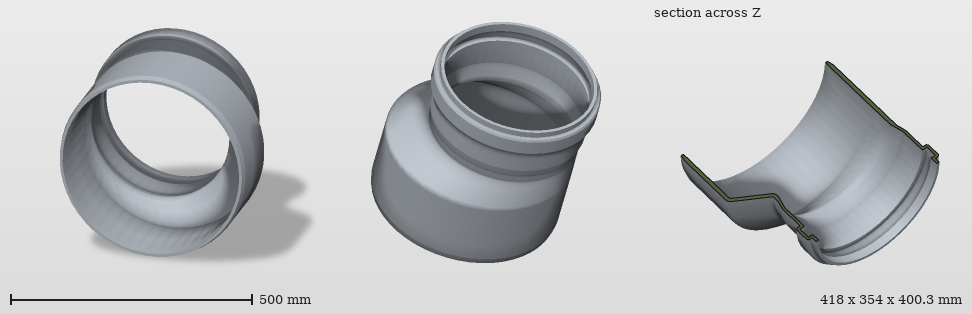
import cadquery as cq
import math


spigot_diameter = 400.3
neck_diameter = 319.0
socket_diameter = 330.3
lip_diameter = 331.2
collar_diameter = 354.3

pipe_wall = 9.8
socket_wall = 6.9

spigot_chamfer_length = 15.0
taper_start = 157.0
taper_end = 206.0
neck_bore_end = 212.5
neck_end = 222.0
socket_start = 244.0
collar_start = 300.0
collar_end = 341.0
total_length = 354.0

spigot_chamfer_depth = 3.5
collar_chamfer_length = 4.5
collar_chamfer_depth = 3.0
shoulder_radius = 11.0
neck_round_outside = 2.0
neck_round_inside = neck_round_outside + pipe_wall
neck_round_steps = 4

spigot_radius = spigot_diameter / 2
spigot_bore_radius = spigot_radius - pipe_wall
neck_radius = neck_diameter / 2
neck_bore_radius = neck_radius - pipe_wall
spigot_offset = spigot_radius - neck_radius

taper_angle = math.atan2(spigot_diameter - neck_diameter, taper_end - taper_start)
bore_taper_shift = pipe_wall * math.tan(taper_angle / 2)


def circle_at(y, radius, axis_x):
    """Circular wire facing +Y, centred on (axis_x, y, 0)."""
    return cq.Wire.makeCircle(radius, cq.Vector(axis_x, y, 0), cq.Vector(0, 1, 0))


def loft_sections(wires, straight=True):
    """Solid lofted through the given circles, with straight or smoothly curved sides."""
    return cq.Workplane(cq.Solid.makeLoft(wires, straight))


def stack_sections(wires):
    """Union of straight-sided lofts between each circle and the next."""
    solid = loft_sections(wires[:2])
    for front, back in zip(wires[1:], wires[2:]):
        solid = solid.union(loft_sections([front, back]))
    return solid


def neck_round_wires(small_radius, corner_y, round_radius):
    """Circles that round the corner between taper and neck.

    Every circle touches the straight -X wall, while its +X side follows an arc
    tangent to the taper and to the neck.
    """
    tangent_y = corner_y + round_radius * math.tan(taper_angle / 2)
    wires = []
    for step in range(neck_round_steps + 1):
        angle = taper_angle * (1 - step / neck_round_steps)
        rise = round_radius * (1 - math.cos(angle))
        y = tangent_y - round_radius * math.sin(angle)
        wires.append(circle_at(y, small_radius + rise / 2, rise / 2))
    return wires


def revolve_profile(points):
    """Solid of revolution about the Y axis from (radius, y) points."""
    return cq.Workplane("XY").polyline(points).close().revolve(360, (0, 0, 0), (0, 1, 0))


def round_shoulder(body):
    """Round the seam between spigot and taper; the round fades out on the -X side."""
    reach = spigot_diameter
    seam = cq.selectors.BoxSelector(
        (-reach, taper_start - 1, -reach),
        (reach, taper_start + 1, reach),
    )
    return body.edges(seam).fillet(shoulder_radius)


def make_spigot_outside():
    """Chamfered spigot, eccentric taper and the round into the neck."""
    round_wires = neck_round_wires(neck_radius, taper_end, neck_round_outside)
    body = stack_sections([
        circle_at(0, spigot_radius - spigot_chamfer_depth, spigot_offset),
        circle_at(spigot_chamfer_length, spigot_radius, spigot_offset),
        circle_at(taper_start, spigot_radius, spigot_offset),
        round_wires[0],
    ])
    body = round_shoulder(body)
    body = body.union(loft_sections(round_wires, straight=False))
    return body.union(loft_sections([round_wires[-1], circle_at(neck_end, neck_radius, 0)]))


def make_spigot_bore():
    """Plain spigot bore, eccentric taper and the round into the neck bore."""
    corner_y = taper_end - bore_taper_shift
    round_wires = neck_round_wires(neck_bore_radius, corner_y, neck_round_inside)
    body = stack_sections([
        circle_at(0, spigot_bore_radius, spigot_offset),
        circle_at(taper_start - bore_taper_shift, spigot_bore_radius, spigot_offset),
        round_wires[0],
    ])
    body = body.union(loft_sections(round_wires, straight=False))
    return body.union(loft_sections([round_wires[-1], circle_at(neck_bore_end, neck_bore_radius, 0)]))


def make_socket_outside():
    """Flare, socket barrel, chamfered collar and end lip."""
    socket_radius = socket_diameter / 2
    lip_radius = lip_diameter / 2
    collar_radius = collar_diameter / 2
    collar_edge_radius = collar_radius - collar_chamfer_depth
    return revolve_profile([
        (0, neck_end),
        (neck_radius, neck_end),
        (socket_radius, socket_start),
        (socket_radius, collar_start),
        (collar_edge_radius, collar_start),
        (collar_radius, collar_start + collar_chamfer_length),
        (collar_radius, collar_end - collar_chamfer_length),
        (collar_edge_radius, collar_end),
        (lip_radius, collar_end),
        (lip_radius, total_length),
        (0, total_length),
    ])


def make_socket_bore():
    """Flare, socket bore and the seal ring groove inside the collar."""
    socket_bore_radius = socket_diameter / 2 - socket_wall
    lip_bore_radius = lip_diameter / 2 - socket_wall
    groove_radius = collar_diameter / 2 - socket_wall
    groove_start = collar_start + socket_wall
    groove_end = collar_end - socket_wall
    return revolve_profile([
        (0, neck_bore_end),
        (neck_bore_radius, neck_bore_end),
        (socket_bore_radius, socket_start),
        (socket_bore_radius, groove_start),
        (groove_radius, groove_start),
        (groove_radius, groove_end),
        (lip_bore_radius, groove_end),
        (lip_bore_radius, total_length),
        (0, total_length),
    ])


outside = make_spigot_outside().union(make_socket_outside())
bore = make_spigot_bore().union(make_socket_bore())
result = outside.cut(bore).solids()